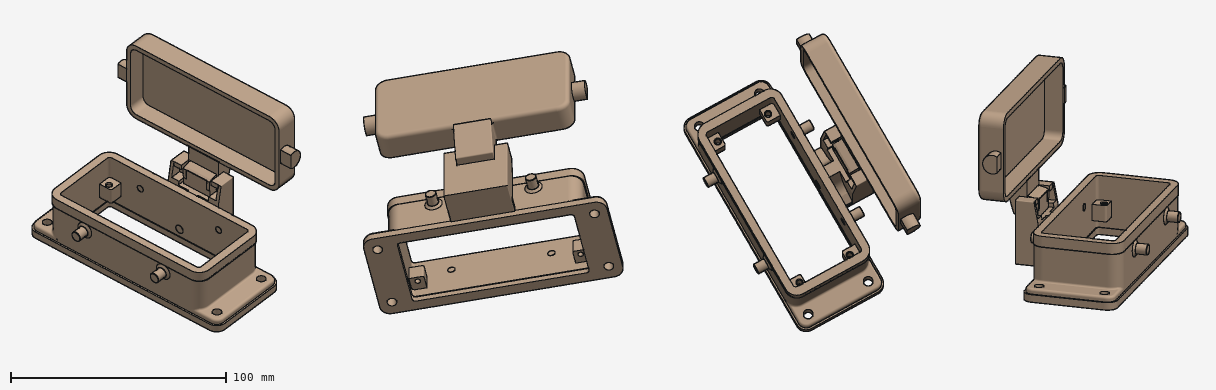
import cadquery as cq

flange_length = 115.5
flange_width = 45.5
flange_height = 3.75
flange_corner = 5.0
step_inset = 0.9
step_top = 6.2
step_edge_radius = 1.2
mount_hole_diameter = 4.5
mount_hole_x = 51.5
mount_hole_y = 16.0

body_length = 92.5
body_width = 43.7
body_corner = 6.0
body_foot_radius = 1.0
rim_offset_x = 0.5
rim_offset_y = 0.15
rim_bottom = 23.6
housing_height = 29.0

cavity_length = 84.8
cavity_width = 36.2
cavity_corner = 1.5
cavity_floor = 3.5
floor_lip = 0.4

post_size = 7.1
post_bottom = 9.0
post_top = 17.0
post_corner = 1.0
post_hole_x = 38.7
post_hole_y = 13.4
post_hole_diameter = 2.5
post_countersink_diameter = 3.4

pin_x = 23.75
pin_z = 19.5
pin_radius = 2.55
pin_tip_y = 28.3
pin_tip_chamfer = 0.2
pin_cone_radius = 4.15
pin_cone_length = 1.0
pin_embed = 1.0

pin_dimple_radius = 1.75
bracket_dimple_radius = 2.2
bracket_dimple_z = 7.6
dimple_depth = 0.2

bracket_half_width = 15.2
bracket_bottom = 2.1
bracket_toe_top = 4.2
bracket_toe_y = 23.55
bracket_front_y = 28.2
bracket_back_y = 39.35
bracket_slot_floor = 23.2
bracket_top_front_y = 30.2
bracket_top = 33.6
bracket_edge_radius = 0.4
cheek_wall = 1.8
cheek_slab_front_y = 30.3
cheek_pocket_bottom = 25.2
cheek_pocket_top = 31.0
cheek_pocket_depth = 4.0

foot_half_width = 15.0
foot_edge_top = 7.1
foot_flare_x = 10.9
foot_flare_z = 9.6
foot_flank_x = 5.2
foot_flank_z = 15.0
foot_shoulder_x = 2.95
foot_overlap = 1.0

lid_length = body_length
lid_bottom = 42.1
lid_top = 85.5
lid_front_y = 35.1
lid_back_y = 47.7
lid_corner = 6.0
lid_back_radius = 2.0
lid_wall = 2.5
lid_cavity_depth = 9.0

peg_radius = 4.6
peg_length = 6.2
peg_y = 38.65
peg_flat_y = 36.3

arm_half_width = 9.0
arm_front_y = 35.55
arm_bottom = 24.5
arm_bottom_back_y = 42.2
arm_back_top = 43.2
arm_edge_radius = 0.6
arm_root_radius = 0.9
arm_overlap = 1.0
nose_half_width = 8.0
nose_top = 33.8
nose_front_y = 30.4
nose_front_top = 32.9
nose_lip_bottom = 32.2
nose_edge_y = 31.8
nose_panel_y = 30.7
nose_toe_y = 30.6
rib_width = 1.9
rib_taper_top = 28.6
rib_bottom = 26.8

pick_margin = 0.1

wall_y = body_width / 2
cavity_y = cavity_width / 2
lid_height = lid_top - lid_bottom
lid_center_z = (lid_top + lid_bottom) / 2
pocket_half_width = bracket_half_width - cheek_wall


def rounded_block(length, width, corner, bottom, top):
    """Upright block centred on the Z axis with rounded vertical edges."""
    block = cq.Workplane("XY").workplane(offset=bottom).rect(length, width).extrude(top - bottom)
    return block.edges("|Z").fillet(corner)


def side_prism(points, half_width):
    """YZ outline extruded symmetrically about X = 0."""
    return cq.Workplane("YZ").polyline(points).close().extrude(half_width, both=True)


def y_axis_plane(x, y, z):
    """Work plane at a point, facing +Y."""
    return cq.Workplane(cq.Plane(origin=(x, y, z), xDir=(1, 0, 0), normal=(0, 1, 0)))


def foot_edge_box(side_x):
    """Box around the edges where one end of the body meets the flange step."""
    corner_start = side_x * (body_length / 2 - body_corner)
    body_end = side_x * body_length / 2
    return cq.selectors.BoxSelector(
        (min(corner_start, body_end) - pick_margin, -wall_y, step_top - step_edge_radius),
        (max(corner_start, body_end) + pick_margin, wall_y, step_top + pick_margin),
    )


def housing_shell():
    flange = rounded_block(flange_length, flange_width, flange_corner, 0, flange_height)
    step = rounded_block(
        flange_length - 2 * step_inset, body_width, flange_corner - step_inset, 0, step_top
    )
    step = step.faces(">Z").edges().fillet(step_edge_radius)
    body = rounded_block(body_length, body_width, body_corner, 0, housing_height)
    shell = step.union(body)
    for side_x in (-1, 1):
        shell = shell.edges(foot_edge_box(side_x)).fillet(body_foot_radius)
    shell = shell.union(flange)
    rim = rounded_block(
        body_length + 2 * rim_offset_x,
        body_width + 2 * rim_offset_y,
        body_corner,
        rim_bottom,
        housing_height,
    )
    return shell.union(rim)


def housing_cavity():
    cavity = rounded_block(
        cavity_length, cavity_width, cavity_corner, cavity_floor, housing_height
    )
    opening = rounded_block(
        cavity_length - 2 * floor_lip, cavity_width - 2 * floor_lip, cavity_corner, 0, cavity_floor
    )
    return cavity.union(opening)


def screw_post(side_x, side_y):
    """Post in one cavity corner, sunk into the walls, with a countersunk hole."""
    height = post_top - post_bottom
    inner_x = cavity_length / 2 - post_size
    inner_y = cavity_y - post_size
    reach = post_size + cavity_corner
    post = cq.Workplane("XY").box(reach, reach, height, centered=False)
    post = post.edges("|Z and <X and <Y").fillet(post_corner)
    post = post.translate((inner_x, inner_y, post_bottom))
    post = (
        post.faces(">Z")
        .workplane(origin=(post_hole_x, post_hole_y, post_top))
        .cskHole(post_hole_diameter, post_countersink_diameter, 90)
    )
    if side_x < 0:
        post = post.mirror("YZ")
    if side_y < 0:
        post = post.mirror("XZ")
    return post


def locking_pin(x, side_y):
    """Pin with a conical root, pointing outward from a long wall."""
    root = wall_y + pin_cone_length
    profile = [
        (0, cavity_y + pin_embed),
        (pin_cone_radius, cavity_y + pin_embed),
        (pin_cone_radius, wall_y),
        (pin_radius + pin_tip_chamfer, root),
        (pin_radius, root),
        (pin_radius, pin_tip_y - pin_tip_chamfer),
        (pin_radius - pin_tip_chamfer, pin_tip_y),
        (0, pin_tip_y),
    ]
    pin = cq.Workplane("XY").polyline(profile).close().revolve(360, (0, 0, 0), (0, 1, 0))
    if side_y < 0:
        pin = pin.mirror("XZ")
    return pin.translate((x, 0, pin_z))


def wall_dimple(x, z, radius):
    return y_axis_plane(x, cavity_y, z).circle(radius).extrude(dimple_depth)


def bracket_foot():
    """Bell-shaped web between the long wall and the bracket."""
    start_y = bracket_front_y + foot_overlap
    half = (
        cq.Workplane("XZ", origin=(0, start_y, 0))
        .moveTo(0, bracket_toe_top)
        .lineTo(0, bracket_slot_floor)
        .lineTo(foot_shoulder_x, bracket_slot_floor)
        .lineTo(foot_flank_x, foot_flank_z)
        .tangentArcPoint((foot_flare_x, foot_flare_z), relative=False)
        .lineTo(foot_half_width, foot_edge_top)
        .lineTo(foot_half_width, bracket_toe_top)
        .close()
        .extrude(start_y - wall_y + foot_overlap)
    )
    return half.union(half.mirror("YZ"))


def centered_cut(half_width, back_y, bottom, top):
    """Block that opens the bracket from its front up to back_y."""
    block = cq.Workplane("XY").box(
        2 * half_width, back_y - bracket_toe_y, top - bottom, centered=(True, False, False)
    )
    return block.translate((0, bracket_toe_y, bottom))


def hinge_bracket():
    outline = [
        (bracket_toe_y, bracket_bottom),
        (bracket_back_y, bracket_bottom),
        (bracket_back_y, bracket_top),
        (bracket_top_front_y, bracket_top),
        (bracket_front_y, bracket_slot_floor),
        (bracket_front_y, bracket_toe_top),
        (bracket_toe_y, bracket_toe_top),
    ]
    bracket = side_prism(outline, bracket_half_width)
    for side_face in ("<X", ">X"):
        outer_edges = bracket.faces(side_face).edges(">Y or >Z or <Z")
        bracket = outer_edges.fillet(bracket_edge_radius)
    slot = centered_cut(arm_half_width, bracket_back_y, bracket_slot_floor, bracket_top)
    pocket = centered_cut(
        pocket_half_width, cheek_slab_front_y + cheek_pocket_depth, cheek_pocket_bottom, cheek_pocket_top
    )
    slab_front = centered_cut(pocket_half_width, cheek_slab_front_y, cheek_pocket_top, bracket_top)
    return bracket.cut(slot).cut(pocket).cut(slab_front)


def housing_body():
    housing = housing_shell().union(bracket_foot()).union(hinge_bracket())
    for x in (-pin_x, pin_x):
        for side_y in (-1, 1):
            housing = housing.union(locking_pin(x, side_y))
    housing = housing.cut(housing_cavity())
    for side_x in (-1, 1):
        for side_y in (-1, 1):
            housing = housing.union(screw_post(side_x, side_y))
    for x in (-pin_x, pin_x):
        dimple = wall_dimple(x, pin_z, pin_dimple_radius)
        housing = housing.cut(dimple).cut(dimple.mirror("XZ"))
    housing = housing.cut(wall_dimple(0, bracket_dimple_z, bracket_dimple_radius))
    mount_holes = (
        cq.Workplane("XY")
        .rect(2 * mount_hole_x, 2 * mount_hole_y, forConstruction=True)
        .vertices()
        .circle(mount_hole_diameter / 2)
        .extrude(step_top)
    )
    return housing.cut(mount_holes)


def lid_shell():
    depth = lid_back_y - lid_front_y
    shell = y_axis_plane(0, lid_front_y, lid_center_z).rect(lid_length, lid_height).extrude(depth)
    shell = shell.edges("|Y").fillet(lid_corner)
    return shell.faces(">Y").edges().fillet(lid_back_radius)


def lid_cavity():
    cavity = (
        y_axis_plane(0, lid_front_y, lid_center_z)
        .rect(lid_length - 2 * lid_wall, lid_height - 2 * lid_wall)
        .extrude(lid_cavity_depth)
    )
    return cavity.edges("|Y").fillet(lid_corner - lid_wall)


def latch_pegs():
    """Pegs on both lid ends, round with a flat toward the front."""
    span = lid_length / 2 + peg_length
    bar = cq.Workplane("YZ").center(peg_y, lid_center_z).circle(peg_radius).extrude(span, both=True)
    flat = cq.Workplane("XY").box(2 * span, 2 * peg_radius, 2 * peg_radius)
    return bar.cut(flat.translate((0, peg_flat_y - peg_radius, lid_center_z)))


def lid_arm():
    outline = [
        (arm_front_y, lid_bottom + arm_overlap),
        (arm_front_y, arm_bottom),
        (arm_bottom_back_y, arm_bottom),
        (lid_back_y, arm_back_top),
    ]
    arm = side_prism(outline, arm_half_width)
    slanted_back = cq.selectors.BoxSelector(
        (-arm_half_width, arm_bottom_back_y, arm_bottom),
        (arm_half_width, lid_back_y, lid_bottom),
    )
    back_edges = arm.faces(slanted_back).edges("not >Z")
    bottom_sides = arm.faces("<Z").edges("<X or >X")
    return back_edges.add(bottom_sides).fillet(arm_edge_radius)


def arm_root_flare(side_x):
    """Concave flare where one side of the arm runs into the underside of the lid."""
    back_y = lid_back_y - lid_back_radius
    flare = (
        cq.Workplane("XZ", origin=(0, back_y, 0))
        .moveTo(arm_half_width, lid_bottom)
        .lineTo(arm_half_width + arm_root_radius, lid_bottom)
        .radiusArc((arm_half_width, lid_bottom - arm_root_radius), -arm_root_radius)
        .close()
        .extrude(back_y - arm_front_y)
    )
    if side_x < 0:
        flare = flare.mirror("YZ")
    return flare


def arm_nose():
    """Hooked lower end of the arm, reaching forward between the bracket cheeks."""
    outline = [
        (arm_front_y, nose_top),
        (nose_edge_y, nose_front_top),
        (nose_front_y, nose_lip_bottom),
        (nose_panel_y, nose_lip_bottom),
        (nose_toe_y, bracket_slot_floor),
        (arm_front_y, bracket_slot_floor),
    ]
    return side_prism(outline, nose_half_width)


def nose_ribs():
    """Two tapering ribs that stand on the nose panel below its lip."""
    outline = [
        (nose_front_y, nose_lip_bottom),
        (nose_front_y, rib_taper_top),
        (nose_toe_y, rib_bottom),
        (arm_front_y, rib_bottom),
        (arm_front_y, nose_lip_bottom),
    ]
    ribs = side_prism(outline, nose_half_width)
    return ribs.cut(side_prism(outline, nose_half_width - rib_width))


def lid_body():
    lid = lid_shell().union(lid_arm()).union(latch_pegs())
    for side_x in (-1, 1):
        lid = lid.union(arm_root_flare(side_x))
    lid = lid.union(arm_nose()).union(nose_ribs())
    return lid.cut(lid_cavity())


housing = housing_body()
lid = lid_body()

result = cq.Compound.makeCompound([housing.val(), lid.val()])